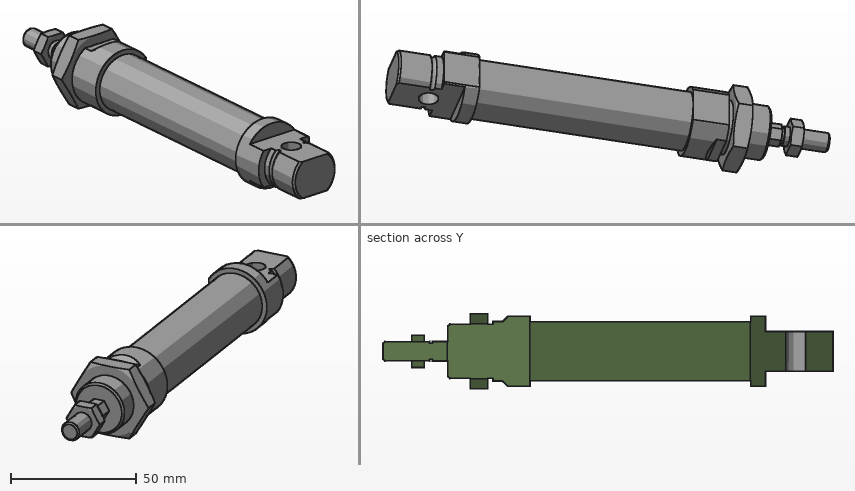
import cadquery as cq
import math


lock_nut_x = 11.5
thread_end_x = 18.7
rod_hex_x = 19.8
collar_x = 26.0
mount_nut_x = 35.0
front_cap_x = 44.0
front_cap_end_x = 58.9
rear_cap_x = 147.0
rear_flat_x = 153.0
rear_cap_end_x = 161.6
rear_groove_x = 165.5
pivot_x = 165.0
rear_end_x = 180.0

rod_diameter = 8.0
rod_neck_diameter = 6.7
rod_tip_chamfer = 0.7
rod_hex_width = 8.0

lock_nut_width = 13.0
lock_nut_length = 5.0
mount_nut_width = 30.0
mount_nut_length = 7.0
nut_chamfer_angle = 15.0

barrel_diameter = 24.0
cap_diameter = 28.0
thread_diameter = 22.0
thread_end_diameter = 20.3
thread_chamfer = (thread_diameter - thread_end_diameter) / 2
side_flat_y = barrel_diameter / 2
wrench_flat_z = barrel_diameter / 2
wrench_flat_length = 4.0
rear_flat_thickness = 16.0
rear_groove_radius = 0.99
pivot_hole_diameter = 8.0


def cylinder_x(diameter, start_x, end_x):
    """Round bar along X between two stations."""
    return cq.Workplane("YZ", origin=(start_x, 0, 0)).circle(diameter / 2).extrude(end_x - start_x)


def hex_corner_diameter(width):
    """Diameter across the corners of a hexagon with the given width across its flats."""
    return width / math.cos(math.pi / 6)


def hex_bar_x(width, start_x, end_x):
    """Hexagonal bar along X, with two flats facing up and down and two corners at +Y and -Y."""
    return (
        cq.Workplane("YZ", origin=(start_x, 0, 0))
        .polygon(6, hex_corner_diameter(width))
        .extrude(end_x - start_x)
    )


def make_nut(width, length, bore_diameter, start_x):
    """Hexagonal nut whose corners are turned down to a cone at both ends."""
    end_x = start_x + length
    face_radius = width / 2
    corner_radius = hex_corner_diameter(width) / 2
    cone_length = (corner_radius - face_radius) * math.tan(math.radians(nut_chamfer_angle))
    turned_blank = (
        cq.Workplane("XY")
        .moveTo(start_x, 0)
        .lineTo(start_x, face_radius)
        .lineTo(start_x + cone_length, corner_radius)
        .lineTo(end_x - cone_length, corner_radius)
        .lineTo(end_x, face_radius)
        .lineTo(end_x, 0)
        .close()
        .revolve(360, (0, 0, 0), (1, 0, 0))
    )
    nut = hex_bar_x(width, start_x, end_x).intersect(turned_blank)
    return nut.cut(cylinder_x(bore_diameter, start_x, end_x))


def make_piston_rod():
    """Chamfered threaded end, narrow neck and wrench hexagon ending at the collar face."""
    threaded_end = cylinder_x(rod_diameter, 0, thread_end_x).faces("<X").chamfer(rod_tip_chamfer)
    neck = cylinder_x(rod_neck_diameter, thread_end_x, rod_hex_x)
    wrench_hexagon = hex_bar_x(rod_hex_width, rod_hex_x, collar_x)
    return threaded_end.union(neck).union(wrench_hexagon)


def make_cap_disc(start_x, end_x):
    """Round cap with one flat on +Y, level with the barrel."""
    length = end_x - start_x
    side_waste = cq.Workplane("XY").box(length, cap_diameter, cap_diameter, centered=(False, False, True))
    return cylinder_x(cap_diameter, start_x, end_x).cut(side_waste.translate((start_x, side_flat_y, 0)))


def make_wrench_flat_cutter():
    """Waste above the upper wrench flat, with a 45 degree run-out at its rear end."""
    flat_end_x = front_cap_x + wrench_flat_length
    depth = cap_diameter / 2 - wrench_flat_z
    return (
        cq.Workplane("XZ")
        .moveTo(front_cap_x, wrench_flat_z)
        .lineTo(flat_end_x, wrench_flat_z)
        .lineTo(flat_end_x + depth, wrench_flat_z + depth)
        .lineTo(front_cap_x, wrench_flat_z + depth)
        .close()
        .extrude(cap_diameter / 2, both=True)
    )


def make_front_cap():
    """Cap with upper and lower wrench flats and a threaded collar for the mounting nut."""
    cap = make_cap_disc(front_cap_x, front_cap_end_x)
    upper_waste = make_wrench_flat_cutter()
    cap = cap.cut(upper_waste).cut(upper_waste.mirror("XY"))
    collar = cylinder_x(thread_diameter, collar_x, front_cap_x).faces("<X").chamfer(thread_chamfer)
    return cap.union(collar)


def make_rear_cap():
    """Cap with a grooved round stem, flattened above and below and pierced by the pivot hole."""
    stem = cylinder_x(thread_diameter, rear_cap_end_x, rear_end_x).faces(">X").chamfer(thread_chamfer)
    groove_center = cq.Vector(rear_groove_x, 0, 0)
    groove = cq.Solid.makeTorus(thread_diameter / 2, rear_groove_radius, groove_center, cq.Vector(1, 0, 0))
    cap = make_cap_disc(rear_cap_x, rear_cap_end_x).union(stem.cut(groove))

    waste_length = rear_end_x - rear_flat_x
    waste = cq.Workplane("XY").box(waste_length, cap_diameter, cap_diameter, centered=(False, True, False))
    upper_waste = waste.translate((rear_flat_x, 0, rear_flat_thickness / 2))
    cap = cap.cut(upper_waste).cut(upper_waste.mirror("XY"))

    pivot_hole = (
        cq.Workplane("XY", origin=(pivot_x, 0, 0))
        .circle(pivot_hole_diameter / 2)
        .extrude(rear_flat_thickness, both=True)
    )
    return cap.cut(pivot_hole)


piston_rod = make_piston_rod()
lock_nut = make_nut(lock_nut_width, lock_nut_length, rod_diameter, lock_nut_x)
mount_nut = make_nut(mount_nut_width, mount_nut_length, thread_diameter, mount_nut_x)
front_cap = make_front_cap()
barrel = cylinder_x(barrel_diameter, front_cap_end_x, rear_cap_x)
rear_cap = make_rear_cap()

result = cq.Compound.makeCompound(
    [piston_rod.val(), lock_nut.val(), mount_nut.val(), front_cap.val(), barrel.val(), rear_cap.val()]
)